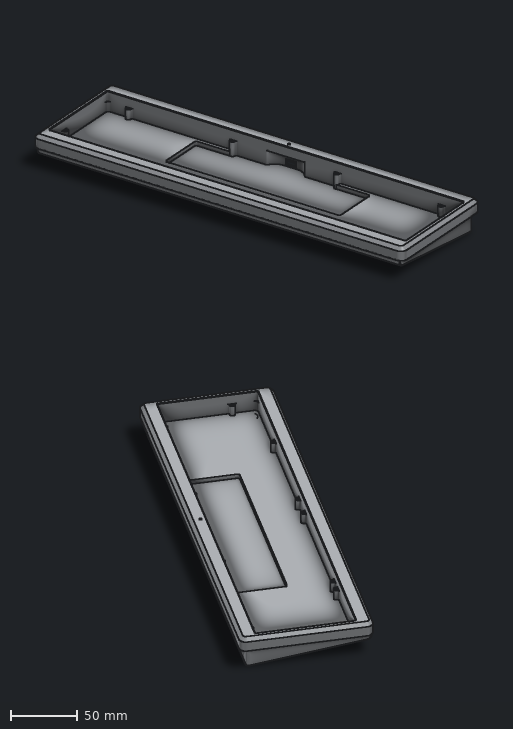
import cadquery as cq
import math

LENGTH = 338.5
WIDTH = 104.0
HEIGHT = 27.5
TOP_Z = HEIGHT / 2
BOTTOM_Z = -HEIGHT / 2

FRAME_HEIGHT = 11.2
FRAME_CORNER_RADIUS = 5.5
FRAME_CHAMFER = 3.0
FRAME_BOTTOM_Z = TOP_Z - FRAME_HEIGHT

BASE_HALF_LENGTH = 166.0
BASE_FRONT_Y = -50.8
BASE_BACK_Y = 46.7
BASE_TILT = 6.3
BASE_FRONT_RADIUS = 4.0
BASE_BACK_RADIUS = 3.0
BASE_EDGE_CHAMFER = 0.7

CAVITY_HALF_LENGTH = 162.8
CAVITY_HALF_WIDTH = 39.0
RIM_CHAMFER = 0.5
FLOOR_Z = -3.5
LEDGE_Z = 5.0
CAVITY_CORNER_RADIUS = 1.0
LEDGE_CORNER_RADIUS = 2.7

POCKET_DEPTH = 3.7
POCKET_HALF_LENGTH = 80.0
POCKET_FRONT_Y = -5.5
POCKET_BACK_Y = 35.5
POCKET_CORNER_RADIUS = 2.0
POCKET_Z = FLOOR_Z - POCKET_DEPTH

BOSS_DIAMETER = 4.5
BOSS_HOLE_DIAMETER = 2.0
BOSS_OFFSET = 1.5
BOSS_FLARE = 1.0
BOSS_HOLE_DEPTH = 6.8
BACK_BOSS_X = (-143.0, -47.7, 47.7, 143.0)
FRONT_BOSS_X = (-104.5, -93.5, 4.0, 23.5, 104.5)
SIDE_BOSS_Y = -19.0

RECESS_HALF_LENGTH = 17.3
RECESS_DEPTH = 6.8
RECESS_MOUTH_RADIUS = 0.5
RECESS_FLAT_HALF_LENGTH = 5.8
PORT_WIDTH = 8.0
PORT_HEIGHT = 2.7
PORT_SEAT_WIDTH = 9.0
PORT_SEAT_HEIGHT = 5.8
PORT_SEAT_DEPTH = 0.5
PORT_Z = -4.0

LIGHT_DIAMETER = 2.0
LIGHT_Y = 43.3
LIGHT_DEPTH = 8.5

FOOT_DIAMETER = 9.0
FOOT_DEPTH = 0.5
FOOT_X = 156.0
FOOT_Y = (-33.0, 37.2)


def base_z(y):
    """Height of the sloping underside at a given y."""
    return BOTTOM_Z + (BASE_BACK_Y - BASE_EDGE_CHAMFER - y) * math.tan(math.radians(BASE_TILT))


def box_between(x0, x1, y0, y1, z0, z1):
    return cq.Workplane("XY").box(x1 - x0, y1 - y0, z1 - z0, centered=False).translate((x0, y0, z0))


def make_frame():
    frame = cq.Workplane("XY").workplane(offset=FRAME_BOTTOM_Z).rect(LENGTH, WIDTH).extrude(FRAME_HEIGHT)
    return frame.edges("|Z").fillet(FRAME_CORNER_RADIUS).faces(">Z").edges().chamfer(FRAME_CHAMFER)


def make_base():
    base = (
        cq.Workplane("YZ", origin=(-BASE_HALF_LENGTH, 0, 0))
        .moveTo(BASE_FRONT_Y, FRAME_BOTTOM_Z)
        .lineTo(BASE_FRONT_Y, base_z(BASE_FRONT_Y))
        .lineTo(BASE_BACK_Y, base_z(BASE_BACK_Y))
        .lineTo(BASE_BACK_Y, FRAME_BOTTOM_Z)
        .close()
        .extrude(2 * BASE_HALF_LENGTH)
    )
    base = base.faces("<Y").edges("<Z").fillet(BASE_FRONT_RADIUS)
    base = base.faces(">Y").edges("|Z").fillet(BASE_BACK_RADIUS)
    return base.faces("<Z").edges("not(<Y)").chamfer(BASE_EDGE_CHAMFER)


def make_cavity():
    def layer(bottom_z, top_z, corner_radius):
        block = box_between(
            -CAVITY_HALF_LENGTH, CAVITY_HALF_LENGTH, -CAVITY_HALF_WIDTH, CAVITY_HALF_WIDTH, bottom_z, top_z
        )
        return block.edges("|Z").fillet(corner_radius)

    lower = layer(FLOOR_Z, LEDGE_Z, LEDGE_CORNER_RADIUS)
    upper = layer(LEDGE_Z, TOP_Z, CAVITY_CORNER_RADIUS)
    return lower.union(upper)


def make_pocket():
    pocket = box_between(
        -POCKET_HALF_LENGTH, POCKET_HALF_LENGTH, POCKET_FRONT_Y, POCKET_BACK_Y, POCKET_Z, FLOOR_Z
    )
    inner_boss_x = BACK_BOSS_X[2]
    strip = box_between(-inner_boss_x, inner_boss_x, POCKET_FRONT_Y, CAVITY_HALF_WIDTH, POCKET_Z, FLOOR_Z)
    return pocket.edges("|Z").fillet(POCKET_CORNER_RADIUS).union(strip)


def make_recess():
    wall_y = CAVITY_HALF_WIDTH
    run = RECESS_HALF_LENGTH - RECESS_FLAT_HALF_LENGTH
    radius = (run**2 + RECESS_DEPTH**2) / (2 * RECESS_DEPTH)
    centre_y = wall_y + RECESS_DEPTH - radius
    half_angle = math.asin(run / radius) / 2
    mid_x = RECESS_FLAT_HALF_LENGTH + radius * math.sin(half_angle)
    mid_y = centre_y + radius * math.cos(half_angle)
    return (
        cq.Workplane("XY", origin=(0, 0, POCKET_Z))
        .moveTo(-RECESS_HALF_LENGTH, wall_y)
        .threePointArc((-mid_x, mid_y), (-RECESS_FLAT_HALF_LENGTH, wall_y + RECESS_DEPTH))
        .lineTo(RECESS_FLAT_HALF_LENGTH, wall_y + RECESS_DEPTH)
        .threePointArc((mid_x, mid_y), (RECESS_HALF_LENGTH, wall_y))
        .close()
        .extrude(LEDGE_Z - POCKET_Z)
    )


def make_port():
    """Rounded slot through the back wall with a shallow rectangular seat on its inner side."""
    seat_y = CAVITY_HALF_WIDTH + RECESS_DEPTH + PORT_SEAT_DEPTH
    seat = (
        cq.Workplane("XZ", origin=(0, seat_y, PORT_Z))
        .rect(PORT_SEAT_WIDTH, PORT_SEAT_HEIGHT)
        .extrude(seat_y - CAVITY_HALF_WIDTH)
    )
    slot = (
        cq.Workplane("XZ", origin=(0, BASE_BACK_Y, PORT_Z))
        .slot2D(PORT_WIDTH, PORT_HEIGHT)
        .extrude(BASE_BACK_Y - CAVITY_HALF_WIDTH)
    )
    return seat.union(slot)


def make_boss(x, y, turn, bottom_z):
    """Screw boss at a wall point; unturned, the wall faces +Y and the boss grows towards +Y."""
    radius = BOSS_DIAMETER / 2
    height = LEDGE_Z - bottom_z
    foot = radius + BOSS_FLARE
    boss = (
        cq.Workplane("XY")
        .moveTo(-foot, 0)
        .radiusArc((-radius, BOSS_FLARE), -BOSS_FLARE)
        .lineTo(-radius, BOSS_OFFSET)
        .threePointArc((0, BOSS_OFFSET + radius), (radius, BOSS_OFFSET))
        .lineTo(radius, BOSS_FLARE)
        .radiusArc((foot, 0), -BOSS_FLARE)
        .close()
        .extrude(height)
        .faces(">Z")
        .workplane(origin=(0, BOSS_OFFSET, height))
        .hole(BOSS_HOLE_DIAMETER, BOSS_HOLE_DEPTH)
    )
    return boss.rotate((0, 0, 0), (0, 0, 1), turn).translate((x, y, bottom_z))


def make_foot_recess(x, y):
    direction = math.radians(BASE_TILT)
    normal = (0, -math.sin(direction), -math.cos(direction))
    plane = cq.Plane(origin=(x, y, base_z(y)), xDir=(1, 0, 0), normal=normal)
    return cq.Workplane(plane).circle(FOOT_DIAMETER / 2).extrude(-FOOT_DEPTH)


def make_light_hole():
    return (
        cq.Workplane("XY", origin=(0, LIGHT_Y, TOP_Z - LIGHT_DEPTH))
        .circle(LIGHT_DIAMETER / 2)
        .extrude(LIGHT_DEPTH)
    )


def chamfer_rim(body):
    """Break the edge where the cavity walls meet the top face."""
    x = CAVITY_HALF_LENGTH + RIM_CHAMFER
    y = CAVITY_HALF_WIDTH + RIM_CHAMFER
    rim = cq.selectors.BoxSelector((-x, -y, FRAME_BOTTOM_Z), (x, y, TOP_Z + RIM_CHAMFER), boundingbox=True)
    return body.faces(">Z").edges(rim).chamfer(RIM_CHAMFER)


def round_recess_mouth(body):
    """Round the two upright edges where the connector recess meets the cavity wall."""
    x = RECESS_HALF_LENGTH + RECESS_MOUTH_RADIUS
    y0 = CAVITY_HALF_WIDTH - RECESS_MOUTH_RADIUS
    y1 = CAVITY_HALF_WIDTH + RECESS_MOUTH_RADIUS
    mouth = cq.selectors.BoxSelector((-x, y0, POCKET_Z), (x, y1, LEDGE_Z))
    return body.edges("|Z").edges(mouth).fillet(RECESS_MOUTH_RADIUS)


result = make_frame().union(make_base())
result = result.cut(make_cavity()).cut(make_pocket()).cut(make_recess()).cut(make_port())
result = chamfer_rim(result)
result = round_recess_mouth(result)

for boss_x in BACK_BOSS_X:
    boss_bottom = POCKET_Z if abs(boss_x) < POCKET_HALF_LENGTH else FLOOR_Z
    result = result.union(make_boss(boss_x, CAVITY_HALF_WIDTH, 180, boss_bottom))
for boss_x in FRONT_BOSS_X:
    result = result.union(make_boss(boss_x, -CAVITY_HALF_WIDTH, 0, FLOOR_Z))
result = result.union(make_boss(-CAVITY_HALF_LENGTH, SIDE_BOSS_Y, -90, FLOOR_Z))
result = result.union(make_boss(CAVITY_HALF_LENGTH, SIDE_BOSS_Y, 90, FLOOR_Z))

for foot_y in FOOT_Y:
    for foot_x in (-FOOT_X, FOOT_X):
        result = result.cut(make_foot_recess(foot_x, foot_y))
result = result.cut(make_light_hole()).solids()